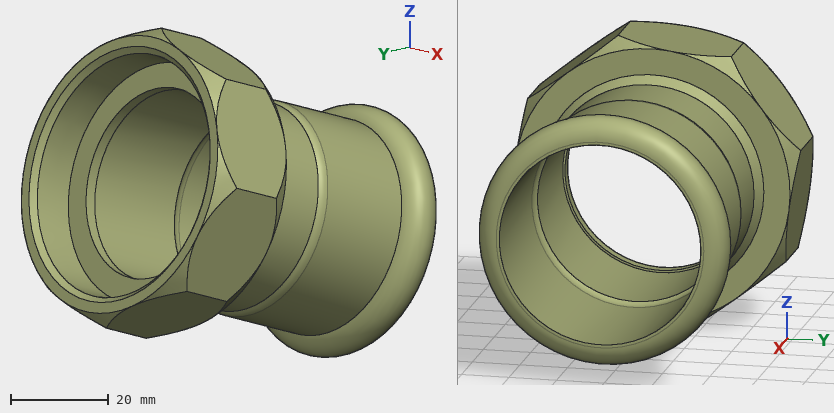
import cadquery as cq
import math

total_length = 67.5

side_count = 8
across_flats = 58.0
nut_length = 19.6
nut_turn = 15.0
nut_chamfer_angle = 30.0
across_corners = across_flats / math.cos(math.pi / side_count)

mouth_diameter = 53.45
socket_diameter = 51.0
socket_floor_diameter = 50.5
mouth_chamfer = (mouth_diameter - socket_diameter) / 2
socket_depth = 9.8

lip_diameter = 40.0
lip_length = 2.5
lip_end = socket_depth + lip_length

collar_diameter = 47.0
collar_length = 2.5
neck_diameter = 44.0
neck_bore = 41.0
neck_start = nut_length + collar_length
shoulder_start = 35.45
shoulder_length = 2.0
sleeve_diameter = 45.4
sleeve_bore = 42.4
sleeve_start = shoulder_start + shoulder_length
bead_diameter = 52.7
bead_radius = 4.5
bead_center_x = total_length - bead_radius
bead_center_radius = bead_diameter / 2 - bead_radius


def revolve_about_x(profile):
    """Turn a closed (x, radius) outline about the X axis."""
    return profile.close().revolve(360, (0, 0, 0), (1, 0, 0))


def shoulder_arc_middle(start_diameter, end_diameter):
    """Middle point of an arc that ends parallel to the X axis on the larger diameter."""
    rise = (end_diameter - start_diameter) / 2
    arc_radius = (shoulder_length**2 + rise**2) / (2 * rise)
    half_angle = math.asin(shoulder_length / arc_radius) / 2
    x = sleeve_start - arc_radius * math.sin(half_angle)
    return x, end_diameter / 2 - arc_radius * (1 - math.cos(half_angle))


def make_nut():
    """Octagonal prism with its corners cut back by a cone at both ends."""
    prism = cq.Workplane("YZ").polygon(side_count, across_corners).extrude(nut_length)
    prism = prism.rotate((0, 0, 0), (1, 0, 0), nut_turn)
    face_radius = across_flats / 2
    middle_x = nut_length / 2
    peak_radius = face_radius + middle_x * math.tan(math.radians(nut_chamfer_angle))
    double_cone = revolve_about_x(
        cq.Workplane("XY")
        .lineTo(0, face_radius)
        .lineTo(middle_x, peak_radius)
        .lineTo(nut_length, face_radius)
        .lineTo(nut_length, 0)
    )
    return prism.intersect(double_cone)


def make_tube_body():
    """Solid outside of the tube, from inside the nut to the bead."""
    return revolve_about_x(
        cq.Workplane("XY")
        .moveTo(socket_depth, 0)
        .lineTo(socket_depth, collar_diameter / 2)
        .lineTo(nut_length, collar_diameter / 2)
        .lineTo(neck_start, neck_diameter / 2)
        .lineTo(shoulder_start, neck_diameter / 2)
        .threePointArc(
            shoulder_arc_middle(neck_diameter, sleeve_diameter),
            (sleeve_start, sleeve_diameter / 2),
        )
        .lineTo(bead_center_x, sleeve_diameter / 2)
        .lineTo(bead_center_x, 0)
    )


def make_bead():
    """Round rolled bead at the far end of the sleeve."""
    return revolve_about_x(
        cq.Workplane("XY")
        .moveTo(bead_center_x - bead_radius, 0)
        .lineTo(bead_center_x - bead_radius, bead_center_radius)
        .threePointArc(
            (bead_center_x, bead_diameter / 2),
            (total_length, bead_center_radius),
        )
        .lineTo(total_length, 0)
    )


def make_bore():
    """Stepped opening that runs through the whole part."""
    return revolve_about_x(
        cq.Workplane("XY")
        .lineTo(0, mouth_diameter / 2)
        .lineTo(mouth_chamfer, socket_diameter / 2)
        .lineTo(socket_depth, socket_floor_diameter / 2)
        .lineTo(socket_depth, lip_diameter / 2)
        .lineTo(lip_end, lip_diameter / 2)
        .lineTo(lip_end, neck_bore / 2)
        .lineTo(shoulder_start, neck_bore / 2)
        .threePointArc(
            shoulder_arc_middle(neck_bore, sleeve_bore),
            (sleeve_start, sleeve_bore / 2),
        )
        .lineTo(total_length, sleeve_bore / 2)
        .lineTo(total_length, 0)
    )


result = make_nut().union(make_tube_body()).union(make_bead()).cut(make_bore())